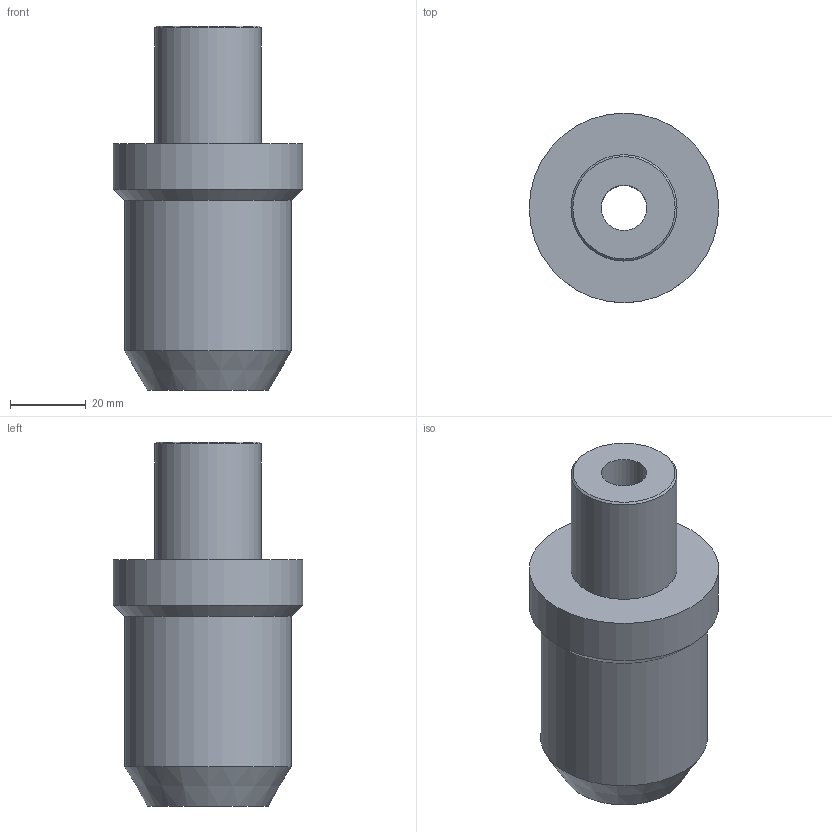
import cadquery as cq
import math

total_height = 96.0
flange_top = 65.0
flange_rim_bottom = 53.0

body_radius = 44.0 / 2
flange_radius = 50.0 / 2
shank_radius = 28.0 / 2
tip_radius = 32.0 / 2
bore_radius = 12.0 / 2

tip_half_angle = math.radians(30.0)
tip_height = (body_radius - tip_radius) / math.tan(tip_half_angle)
flange_bottom = flange_rim_bottom - (flange_radius - body_radius)
shank_chamfer = 0.5


def stepped_pin():
    """Half profile in the XZ plane, revolved about Z, open along the through bore."""
    profile = (
        cq.Workplane("XZ")
        .moveTo(bore_radius, 0)
        .lineTo(tip_radius, 0)
        .lineTo(body_radius, tip_height)
        .lineTo(body_radius, flange_bottom)
        .lineTo(flange_radius, flange_rim_bottom)
        .lineTo(flange_radius, flange_top)
        .lineTo(shank_radius, flange_top)
        .lineTo(shank_radius, total_height - shank_chamfer)
        .lineTo(shank_radius - shank_chamfer, total_height)
        .lineTo(bore_radius, total_height)
        .close()
    )
    return profile.revolve(360, (0, 0, 0), (0, 1, 0))


result = stepped_pin()